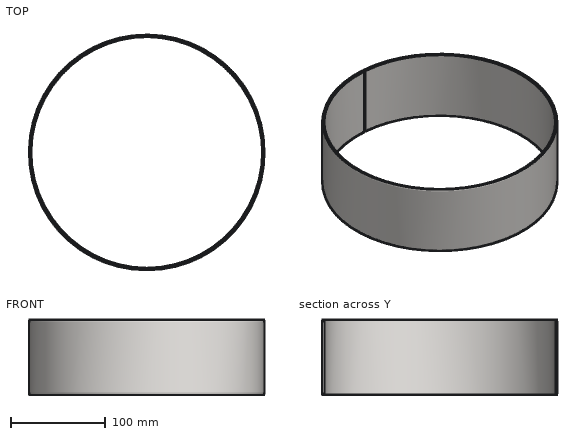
import cadquery as cq

outer_diameter = 250.0
height = 80.0
wall = 2.5
bevel_depth = 0.6
bevel_height = 2.2
inner_bevel = 0.5
gap_width = 2.0

outer_radius = outer_diameter / 2
inner_radius = outer_radius - wall
rim_radius = outer_radius - bevel_depth


def make_band():
    """Revolve the wall section, beveled inside and outside at both rims, about Z."""
    half_height = height / 2
    straight_half = half_height - bevel_height
    inner_straight_half = half_height - inner_bevel
    section = [
        (inner_radius, -inner_straight_half),
        (inner_radius + inner_bevel, -half_height),
        (rim_radius, -half_height),
        (outer_radius, -straight_half),
        (outer_radius, straight_half),
        (rim_radius, half_height),
        (inner_radius + inner_bevel, half_height),
        (inner_radius, inner_straight_half),
    ]
    return cq.Workplane("XZ").polyline(section).close().revolve(360, (0, 0), (0, 1))


def make_gap():
    """Full-height cutter that splits the band at its -X side, just on the +Y side of the XZ plane."""
    cutter_length = 4 * wall
    return (
        cq.Workplane("XY")
        .box(cutter_length, gap_width, 2 * height)
        .translate((-outer_radius, gap_width / 2, 0))
    )


result = make_band().cut(make_gap())